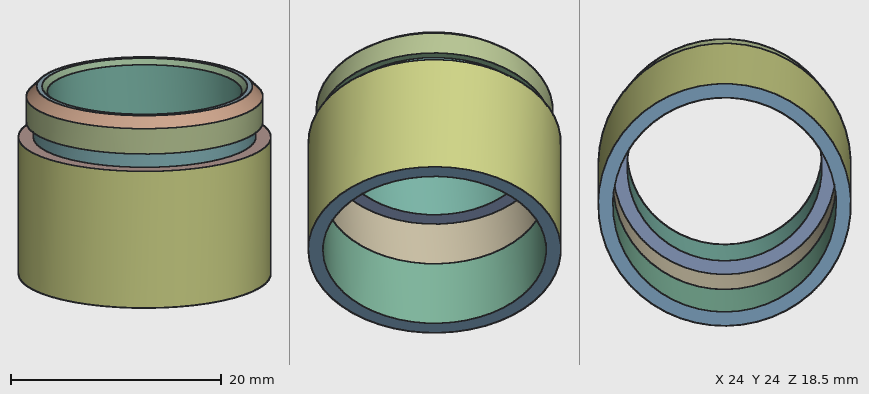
import cadquery as cq

body_diameter = 24.0
body_height = 13.5
groove_diameter = 21.16
groove_height = 1.5
collar_diameter = 22.5
collar_height = 3.5

mouth_diameter = 21.21
mouth_depth = 7.5
seat_diameter = 21.2
seat_length = 5.0
bore_diameter = 18.5

outer_chamfer = 1.0
bore_chamfer = 0.5

collar_bottom = body_height + groove_height
total_height = collar_bottom + collar_height
socket_depth = mouth_depth + seat_length


def upright_cylinder(diameter, bottom, top):
    """Solid cylinder on the Z axis between two heights."""
    return cq.Workplane("XY").workplane(offset=bottom).circle(diameter / 2).extrude(top - bottom)


def make_outside():
    """Stepped outer form: body, ring groove and chamfered collar."""
    body = upright_cylinder(body_diameter, 0, body_height)
    groove_core = upright_cylinder(groove_diameter, body_height, collar_bottom)
    collar = upright_cylinder(collar_diameter, collar_bottom, total_height)
    collar = collar.faces(">Z").chamfer(outer_chamfer)
    return body.union(groove_core).union(collar)


def cut_inside(part):
    """Open the bore right through, widen it from the base and break its top edge."""
    part = part.cut(upright_cylinder(bore_diameter, 0, total_height))
    part = part.cut(upright_cylinder(seat_diameter, 0, socket_depth))
    part = part.cut(upright_cylinder(mouth_diameter, 0, mouth_depth))
    bore_rim = cq.selectors.RadiusNthSelector(0)
    return part.faces(">Z").edges(bore_rim).chamfer(bore_chamfer)


result = cut_inside(make_outside())